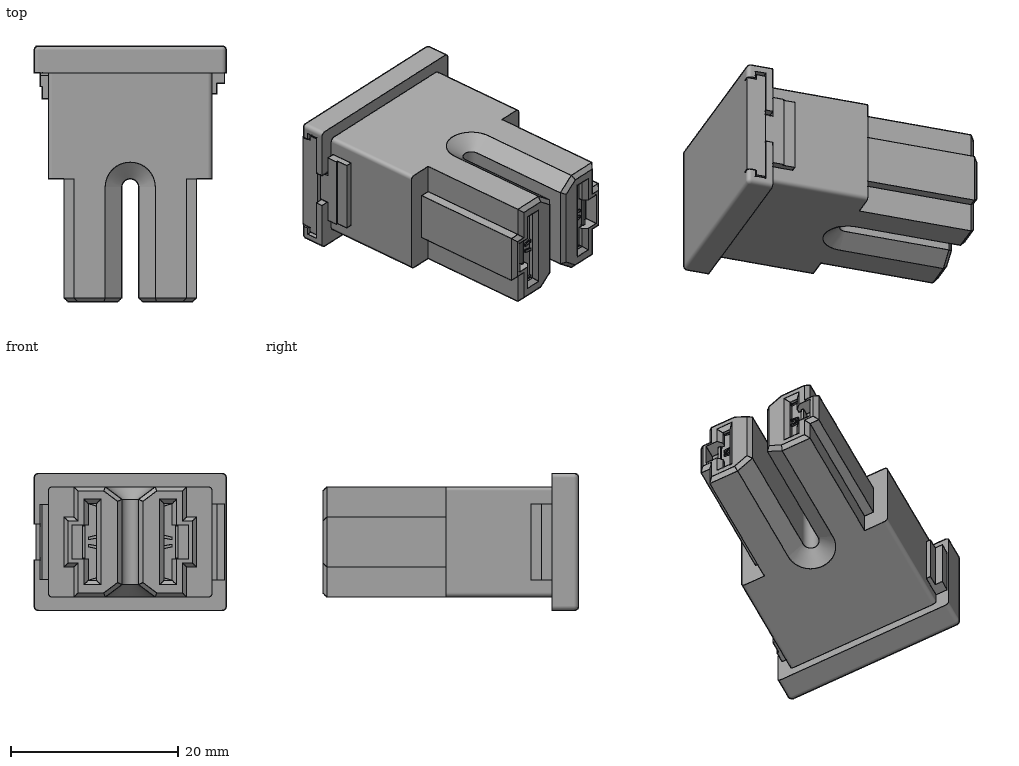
import cadquery as cq

TOTAL_DEPTH = 30.61

CAP_WIDTH = 23.0
CAP_HEIGHT = 16.4
CAP_DEPTH = 3.2
CAP_ROUND = 0.53

BODY_WIDTH = 19.6
BODY_HEIGHT = 13.2
BODY_END = 15.9
BODY_ROUND = 0.5

PRONG_SPAN = 13.5
TONGUE_SPAN = 15.85
TONGUE_HEIGHT = 6.0
TIP_CHAMFER = 0.5

GAP_RADIUS = 1.0
FLARE_RADIUS = 3.0
FLARE_DEPTH = 1.5
GAP_CENTRE_DEPTH = 16.9

SLOT_INNER = 4.05
SLOT_OUTER = 5.0
SLOT_HEIGHT = 9.16
SLOT_DEPTH = 0.98
MOUTH_CHAMFER = 0.53

POCKET_INNER = 5.42
POCKET_OUTER = 6.98
POCKET_HEIGHT = 4.08
POCKET_DEPTH = 1.6
PLATE_THICKNESS = 0.32
PLATE_HEIGHT = 3.8
PLATE_RECESS = 0.73

LIP_HEIGHT = 0.18
LIP_LOW_EDGE = (0.28, 0.45)
LIP_HIGH_EDGE = (0.58, 0.8)
END_WEDGE_RISE = 0.28

CLIP_FACE_X = -11.3
CLIP_RECESS_X = -10.5
CLIP_NECK_X = -10.77
CLIP_TOE_X = -10.55
CLIP_PANEL_HALF = 6.26
CLIP_WING_HALF = 6.88
CLIP_WING_START = 1.17
CLIP_WING_END = 2.31
CLIP_NECK_HALF = 1.93
CLIP_FOOT_HALF = 4.47
CLIP_FOOT_START = 3.5
CLIP_FOOT_STEP = 4.85
CLIP_FOOT_END = 6.32
PANEL_GAP = 0.07
WING_GAP = 0.32
WING_START_GAP = 0.22
NECK_GAP = 0.2

LUG_HALF = 4.56
LUG_TALL_X = 11.3
LUG_TALL_END = 4.47
LUG_LOW_X = 10.35
LUG_LOW_END = 5.72


def block(x_range, depth_range, half_height):
    """Box between two X values and two depths, centred on Z = 0."""
    x_start, x_end = x_range
    near, far = depth_range
    return cq.Workplane("XY").box(
        x_end - x_start, far - near, 2 * half_height
    ).translate(((x_start + x_end) / 2, -(near + far) / 2, 0))


def centred_block(width, depth_range, height):
    return block((-width / 2, width / 2), depth_range, height / 2)


def prism(points, depth_range):
    """Extrude an (X, Z) outline between two depths."""
    near, far = depth_range
    return (
        cq.Workplane("XZ", origin=(0, -near, 0)).polyline(points).close().extrude(far - near)
    )


def make_cap():
    cap = centred_block(CAP_WIDTH, (0, CAP_DEPTH), CAP_HEIGHT)
    cap = cap.edges("|Y").fillet(CAP_ROUND)
    return cap.faces(">Y").edges().fillet(CAP_ROUND)


def make_body():
    body = centred_block(BODY_WIDTH, (CAP_DEPTH / 2, BODY_END), BODY_HEIGHT)
    return body.edges("|Y").fillet(BODY_ROUND)


def cut_prong_gap(prongs):
    """Round-ended gap through Z, flared by a cone and a taper on both faces."""
    half_height = BODY_HEIGHT / 2
    flare_start = half_height - FLARE_DEPTH
    hole = (
        cq.Workplane("XY", origin=(0, -GAP_CENTRE_DEPTH, -half_height))
        .circle(GAP_RADIUS)
        .extrude(BODY_HEIGHT)
    )
    profile = [
        (GAP_RADIUS, flare_start),
        (FLARE_RADIUS, half_height),
        (-FLARE_RADIUS, half_height),
        (-GAP_RADIUS, flare_start),
        (-GAP_RADIUS, -flare_start),
        (-FLARE_RADIUS, -half_height),
        (FLARE_RADIUS, -half_height),
        (GAP_RADIUS, -flare_start),
    ]
    prongs = prongs.cut(hole).cut(prism(profile, (GAP_CENTRE_DEPTH, TOTAL_DEPTH)))
    for side in (1, -1):
        cone = cq.Solid.makeCone(
            GAP_RADIUS,
            FLARE_RADIUS,
            FLARE_DEPTH,
            cq.Vector(0, -GAP_CENTRE_DEPTH, side * flare_start),
            cq.Vector(0, 0, side),
        )
        prongs = prongs.cut(cq.Workplane(obj=cone))
    return prongs


def make_prongs_and_body():
    prongs = centred_block(PRONG_SPAN, (BODY_END, TOTAL_DEPTH), BODY_HEIGHT)
    tongues = centred_block(TONGUE_SPAN, (BODY_END, TOTAL_DEPTH), TONGUE_HEIGHT)
    housing = cut_prong_gap(make_body().union(prongs).union(tongues))
    return housing.faces("<Y").edges().chamfer(TIP_CHAMFER)


def make_socket_cutter():
    """Blade slot with chamfered mouth plus side pocket, for the +X prong."""
    slot_depths = (TOTAL_DEPTH - SLOT_DEPTH, TOTAL_DEPTH)
    pocket_depths = (TOTAL_DEPTH - POCKET_DEPTH, TOTAL_DEPTH)
    slot_width = SLOT_OUTER - SLOT_INNER
    slot_centre = (SLOT_INNER + SLOT_OUTER) / 2
    slot = block((SLOT_INNER, SLOT_OUTER), slot_depths, SLOT_HEIGHT / 2)
    mouth = (
        cq.Workplane("XZ", origin=(slot_centre, MOUTH_CHAMFER - TOTAL_DEPTH, 0))
        .rect(slot_width, SLOT_HEIGHT)
        .workplane(offset=MOUTH_CHAMFER)
        .rect(slot_width + 2 * MOUTH_CHAMFER, SLOT_HEIGHT + 2 * MOUTH_CHAMFER)
        .loft(ruled=True)
    )
    passage = block((SLOT_INNER, POCKET_INNER), slot_depths, POCKET_HEIGHT / 2)
    pocket = block((POCKET_INNER, POCKET_OUTER), pocket_depths, POCKET_HEIGHT / 2)
    return slot.union(mouth).union(passage).union(pocket)


def make_contacts():
    """Contact plate, lips and end wedges inside the +X prong socket."""
    floor = TOTAL_DEPTH - SLOT_DEPTH
    plate = block(
        (POCKET_INNER, POCKET_INNER + PLATE_THICKNESS),
        (TOTAL_DEPTH - POCKET_DEPTH, TOTAL_DEPTH - PLATE_RECESS),
        PLATE_HEIGHT / 2,
    )
    contacts = [plate]
    slot_end = SLOT_HEIGHT / 2
    for side in (1, -1):
        lip = [
            (SLOT_OUTER, side * LIP_LOW_EDGE[0]),
            (SLOT_INNER, side * LIP_LOW_EDGE[1]),
            (SLOT_INNER, side * LIP_HIGH_EDGE[1]),
            (SLOT_OUTER, side * LIP_HIGH_EDGE[0]),
        ]
        wedge = [
            (SLOT_OUTER, side * slot_end),
            (SLOT_INNER, side * slot_end),
            (SLOT_INNER, side * (slot_end - END_WEDGE_RISE)),
        ]
        for outline in (lip, wedge):
            contacts.append(prism(outline, (floor, floor + LIP_HEIGHT)))
    return contacts


def add_sockets(housing):
    cutter = make_socket_cutter()
    contacts = make_contacts()
    housing = housing.cut(cutter).cut(cutter.mirror("YZ"))
    for contact in contacts:
        housing = housing.union(contact).union(contact.mirror("YZ"))
    return housing


def add_clip(housing):
    """Cut the clip recess in the -X side of the cap, then set the clip in it."""
    cut_x = (-CAP_WIDTH / 2, CLIP_RECESS_X)
    recesses = [
        block(cut_x, (0, CLIP_WING_END), CLIP_PANEL_HALF + PANEL_GAP),
        block(
            cut_x, (CLIP_WING_START - WING_START_GAP, CLIP_WING_END), CLIP_WING_HALF + WING_GAP
        ),
        block(cut_x, (CLIP_WING_END, CAP_DEPTH), CLIP_NECK_HALF + NECK_GAP),
    ]
    for recess in recesses:
        housing = housing.cut(recess)

    panel_x = (CLIP_FACE_X, CLIP_RECESS_X)
    body_side = -BODY_WIDTH / 2
    clip_blocks = [
        block(panel_x, (0, CLIP_WING_END), CLIP_PANEL_HALF),
        block(panel_x, (CLIP_WING_START, CLIP_WING_END), CLIP_WING_HALF),
        block((CLIP_NECK_X, body_side), (CLIP_WING_END, CLIP_FOOT_START), CLIP_NECK_HALF),
        block((CLIP_NECK_X, body_side), (CLIP_FOOT_START, CLIP_FOOT_STEP), CLIP_FOOT_HALF),
        block((CLIP_TOE_X, body_side), (CLIP_FOOT_STEP, CLIP_FOOT_END), CLIP_FOOT_HALF),
    ]
    for clip_block in clip_blocks:
        housing = housing.union(clip_block)
    return housing


def add_lug(housing):
    body_side = BODY_WIDTH / 2
    tall = block((body_side, LUG_TALL_X), (CAP_DEPTH, LUG_TALL_END), LUG_HALF)
    low = block((body_side, LUG_LOW_X), (CAP_DEPTH, LUG_LOW_END), LUG_HALF)
    return housing.union(tall).union(low)


housing = add_sockets(make_prongs_and_body())
housing = housing.union(make_cap())
result = add_lug(add_clip(housing))